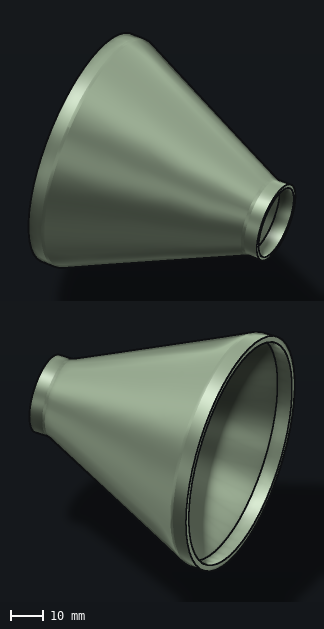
import cadquery as cq

length = 67.0
collar_length = 5.0
large_diameter = 76.3
large_bore = 72.3
small_diameter = 25.4
small_bore = 23.0
bend_radius = 2.5


def funnel_solid(large_end_diameter, small_end_diameter):
    """Solid of revolution about X: large collar, cone, small collar."""
    large_radius = large_end_diameter / 2
    small_radius = small_end_diameter / 2
    profile = [
        (0, 0),
        (0, large_radius),
        (collar_length, large_radius),
        (length - collar_length, small_radius),
        (length, small_radius),
        (length, 0),
    ]
    return cq.Workplane("XY").polyline(profile).close().revolve(360, (0, 0, 0), (1, 0, 0))


corner_margin = 0.8
outer_corners = cq.selectors.BoxSelector(
    (corner_margin, -large_diameter, -large_diameter),
    (length - corner_margin, large_diameter, large_diameter),
    boundingbox=False,
)
outside = funnel_solid(large_diameter, small_diameter)
outside = outside.edges("%CIRCLE").edges(outer_corners).fillet(bend_radius)

inside = funnel_solid(large_bore, small_bore)

result = outside.cut(inside)